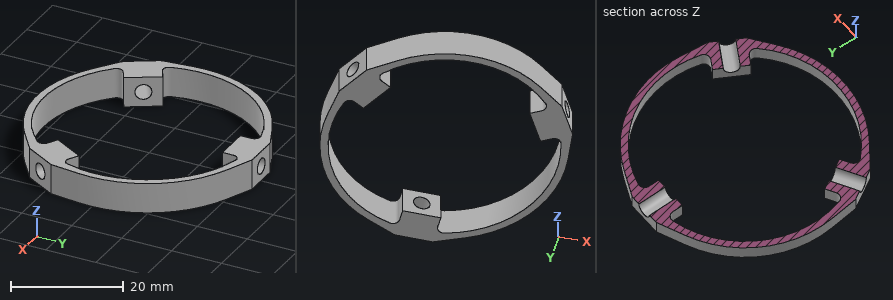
import cadquery as cq
import math

height = 6.0
outer_radius = 22.2
wall = 1.5
inner_radius = outer_radius - wall
pad_count = 3
pad_width = 7.0
pad_half_width = pad_width / 2
pad_outer_face = 22.7
pad_inner_face = 16.7
root_fillet = 1.2
hole_diameter = 3.0
first_pad_angle = 90.0
pad_angles = [first_pad_angle + i * 360.0 / pad_count for i in range(pad_count)]


def tangent_point():
    """Point where a line from the flat's corner touches the outer circle (pad along +X)."""
    corner_distance = math.hypot(pad_outer_face, pad_half_width)
    corner_angle = math.atan2(pad_half_width, pad_outer_face)
    angle = corner_angle + math.acos(outer_radius / corner_distance)
    return outer_radius * math.cos(angle), outer_radius * math.sin(angle)


def pad_blank():
    """Pad pointing along +X, with flanks that run tangent into the ring's outside."""
    touch_x, touch_y = tangent_point()
    block = (
        cq.Workplane("XY")
        .moveTo(pad_inner_face, -pad_half_width)
        .lineTo(pad_outer_face, -pad_half_width)
        .lineTo(pad_outer_face, pad_half_width)
        .lineTo(pad_inner_face, pad_half_width)
        .close()
        .extrude(height)
    )
    flanks = (
        cq.Workplane("XY")
        .moveTo(touch_x, -touch_y)
        .lineTo(pad_outer_face, -pad_half_width)
        .lineTo(pad_outer_face, pad_half_width)
        .lineTo(touch_x, touch_y)
        .close()
        .extrude(height)
        .cut(cq.Workplane("XY").circle(inner_radius).extrude(height))
    )
    return block.union(flanks)


def pad_hole():
    """Radial through hole at mid height of a pad pointing along +X."""
    return (
        cq.Workplane("YZ", origin=(0, 0, height / 2))
        .circle(hole_diameter / 2)
        .extrude(pad_outer_face)
    )


def at_pad(shape, angle):
    """Turn a shape built along +X to a pad's direction."""
    return shape.rotate((0, 0, 0), (0, 0, 1), angle)


def root_edges(body):
    """Vertical edges where the pad sides meet the bore."""
    root_x = math.sqrt(inner_radius**2 - pad_half_width**2)
    root_angle = math.degrees(math.atan2(pad_half_width, root_x))
    edges = []
    for angle in pad_angles:
        for side in (-1, 1):
            direction = math.radians(angle + side * root_angle)
            point = (inner_radius * math.cos(direction), inner_radius * math.sin(direction), height / 2)
            edges.append(body.edges("|Z").edges(cq.selectors.NearestToPointSelector(point)).val())
    return body.newObject(edges)


ring = cq.Workplane("XY").circle(outer_radius).circle(inner_radius).extrude(height)
for pad_angle in pad_angles:
    ring = ring.union(at_pad(pad_blank(), pad_angle))

ring = root_edges(ring).fillet(root_fillet)

for pad_angle in pad_angles:
    ring = ring.cut(at_pad(pad_hole(), pad_angle))

result = ring